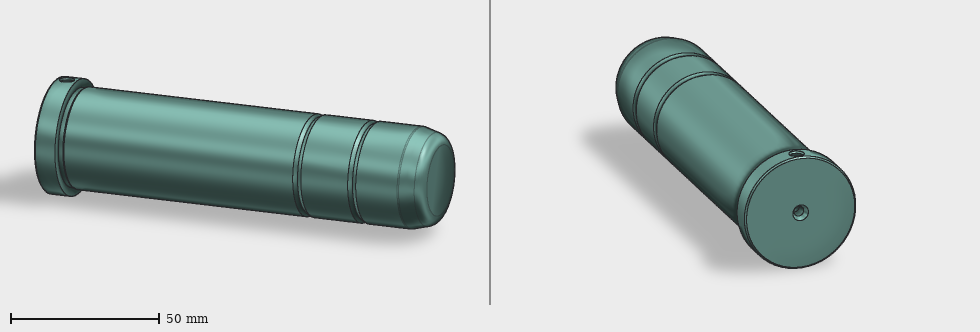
import cadquery as cq
import math

LENGTH = 140
HEAD_RADIUS = 20.0
HEAD_LENGTH = 7.7
HEAD_CHAMFER = 0.5
BODY_RADIUS = 17.5

RELIEF_DEPTH = 0.4
RELIEF_END = 9.4
RELIEF_RAMP = 0.5

GROOVE_CENTERS = (94.8, 114.8)
GROOVE_WIDTH = 3.0
GROOVE_DEPTH = 0.7

NOSE_START = 131.6
NOSE_ANGLE = math.radians(15)
NOSE_FILLET = 4.0
NOSE_BLEND = 2.0

CENTER_HOLE_DIAMETER = 3.5
CENTER_HOLE_DEPTH = 6.0
COUNTERSINK_DIAMETER = 5.6
COUNTERSINK_ANGLE = 60

RADIAL_HOLE_DIAMETER = 4.0
RADIAL_HOLE_MOUTH_DIAMETER = 5.2
RADIAL_HOLE_X = 3.9
RADIAL_HOLE_DEPTH = 6.0
DRILL_POINT_ANGLE = 118


def cone_height(diameter, angle):
    """Height of a cone with the given base diameter and full angle in degrees."""
    return diameter / 2 / math.tan(math.radians(angle / 2))


def make_pin():
    """Revolve the outline of head, relief, body and nose, then round the nose."""
    relief_radius = BODY_RADIUS - RELIEF_DEPTH
    tip_radius = BODY_RADIUS - (LENGTH - NOSE_START) * math.tan(NOSE_ANGLE)
    outline = (
        cq.Workplane("XY")
        .lineTo(0, HEAD_RADIUS - HEAD_CHAMFER)
        .lineTo(HEAD_CHAMFER, HEAD_RADIUS)
        .lineTo(HEAD_LENGTH, HEAD_RADIUS)
        .lineTo(HEAD_LENGTH, relief_radius)
        .lineTo(RELIEF_END, relief_radius)
        .lineTo(RELIEF_END + RELIEF_RAMP, BODY_RADIUS)
        .lineTo(NOSE_START, BODY_RADIUS)
        .lineTo(LENGTH, tip_radius)
        .lineTo(LENGTH, 0)
        .close()
    )
    pin = outline.revolve(360, (0, 0, 0), (1, 0, 0))
    pin = pin.faces(">X").edges().fillet(NOSE_FILLET)
    nose_edge = cq.selectors.BoxSelector(
        (NOSE_START - NOSE_BLEND, -BODY_RADIUS, -BODY_RADIUS),
        (NOSE_START + NOSE_BLEND, BODY_RADIUS, BODY_RADIUS),
    )
    return pin.edges("%CIRCLE").edges(nose_edge).fillet(NOSE_BLEND)


def make_groove(center):
    """Ring with a V-shaped section, cut into the body."""
    half_width = GROOVE_WIDTH / 2
    outline = (
        cq.Workplane("XY")
        .moveTo(center - half_width, BODY_RADIUS)
        .lineTo(center, BODY_RADIUS - GROOVE_DEPTH)
        .lineTo(center + half_width, BODY_RADIUS)
        .lineTo(center + half_width, HEAD_RADIUS)
        .lineTo(center - half_width, HEAD_RADIUS)
        .close()
    )
    return outline.revolve(360, (0, 0, 0), (1, 0, 0))


def make_center_hole():
    """Countersunk blind hole along the pin axis."""
    hole_radius = CENTER_HOLE_DIAMETER / 2
    countersink_radius = COUNTERSINK_DIAMETER / 2
    countersink_depth = cone_height(COUNTERSINK_DIAMETER - CENTER_HOLE_DIAMETER, COUNTERSINK_ANGLE)
    point_height = cone_height(CENTER_HOLE_DIAMETER, DRILL_POINT_ANGLE)
    outline = (
        cq.Workplane("XY")
        .lineTo(0, countersink_radius)
        .lineTo(countersink_depth, hole_radius)
        .lineTo(CENTER_HOLE_DEPTH, hole_radius)
        .lineTo(CENTER_HOLE_DEPTH + point_height, 0)
        .close()
    )
    return outline.revolve(360, (0, 0, 0), (1, 0, 0))


def make_radial_hole():
    """Blind drilled hole with a 45 degree chamfered mouth, entering the head from above."""
    hole_radius = RADIAL_HOLE_DIAMETER / 2
    mouth_radius = RADIAL_HOLE_MOUTH_DIAMETER / 2
    mouth_height = math.sqrt(HEAD_RADIUS**2 - mouth_radius**2)
    chamfer = mouth_radius - hole_radius
    bottom = HEAD_RADIUS - RADIAL_HOLE_DEPTH
    point_height = cone_height(RADIAL_HOLE_DIAMETER, DRILL_POINT_ANGLE)
    outline = (
        cq.Workplane("XZ", origin=(RADIAL_HOLE_X, 0, 0))
        .moveTo(0, HEAD_RADIUS)
        .lineTo(mouth_radius, HEAD_RADIUS)
        .lineTo(mouth_radius, mouth_height)
        .lineTo(hole_radius, mouth_height - chamfer)
        .lineTo(hole_radius, bottom)
        .lineTo(0, bottom - point_height)
        .close()
    )
    return outline.revolve(360, (0, 0, 0), (0, 1, 0))


result = make_pin()
for groove_center in GROOVE_CENTERS:
    result = result.cut(make_groove(groove_center))
result = result.cut(make_center_hole())
result = result.cut(make_radial_hole())